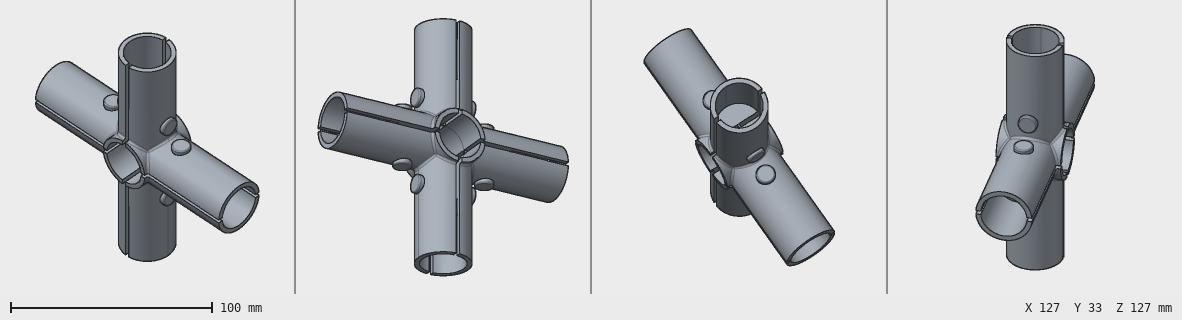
import cadquery as cq

long_length = 127.0
short_length = 33.0
outer_diameter = 28.7
bore_diameter = 23.6
junction_fillet = 1.3

socket_floor = 32.6

slot_width = 2.0
web_thickness = 1.0

pin_diameter = 9.7
pin_offset = 23.5
pin_span = 32.5
pin_edge_fillet = 0.6

AXIS_PLANES = {"X": "YZ", "Y": "XZ", "Z": "XY"}


def centred_cylinder(axis, diameter, length):
    """Cylinder along the named axis, centred on the origin."""
    return cq.Workplane(AXIS_PLANES[axis]).circle(diameter / 2).extrude(length / 2, both=True)


def tube_bodies():
    """Three crossing solid cylinders with filleted junctions."""
    body = centred_cylinder("X", outer_diameter, long_length)
    body = body.union(centred_cylinder("Z", outer_diameter, long_length))
    body = body.union(centred_cylinder("Y", outer_diameter, short_length))
    core = outer_diameter + junction_fillet
    junctions = body.edges(cq.selectors.BoxSelector(
        (-core / 2, -core / 2, -core / 2), (core / 2, core / 2, core / 2), boundingbox=True))
    return junctions.fillet(junction_fillet)


def pins():
    """Pins crossing both long tubes on either side of the centre, rounded at their ends."""
    across_z = centred_cylinder("Z", pin_diameter, pin_span).edges().fillet(pin_edge_fillet)
    across_x = centred_cylinder("X", pin_diameter, pin_span).edges().fillet(pin_edge_fillet)
    group = cq.Workplane()
    for offset in (-pin_offset, pin_offset):
        group = group.add(across_z.translate((offset, 0, 0)))
        group = group.add(across_x.translate((0, 0, offset)))
    return group.combine()


def sockets():
    """Blind bores in the four long arms."""
    depth = long_length / 2 - socket_floor
    group = cq.Workplane()
    for axis in ("X", "Z"):
        for start in (socket_floor, -long_length / 2):
            bore = cq.Workplane(AXIS_PLANES[axis]).workplane(offset=start)
            group = group.add(bore.circle(bore_diameter / 2).extrude(depth))
    return group.combine()


def slots():
    """Full-length slots splitting both long tubes, less the central web."""
    lengthwise_x = cq.Workplane().box(long_length, short_length, slot_width)
    lengthwise_z = cq.Workplane().box(slot_width, short_length, long_length)
    web = cq.Workplane().box(2 * socket_floor, web_thickness, 2 * socket_floor)
    return lengthwise_x.union(lengthwise_z).cut(web)


result = (
    tube_bodies()
    .union(pins())
    .cut(sockets())
    .cut(centred_cylinder("Y", bore_diameter, short_length))
    .cut(slots())
)